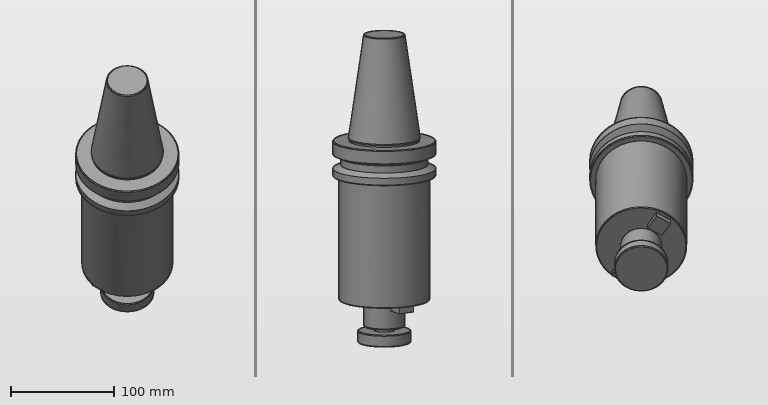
import cadquery as cq

total_height = 303.8
screw_head_top = 12.0
spigot_bottom = 15.5
body_bottom = 42.0
flange_bottom = 164.0
groove_lower_edge = 171.5
groove_floor_bottom = 175.3
groove_floor_top = 182.3
groove_upper_edge = 186.0
flange_top = 199.0
relief_top = 200.5
taper_base = 202.0

screw_head_radius = 25.8
screw_neck_radius = 10.0
spigot_radius = 20.0
body_radius = 44.0
flange_radius = 100.0 / 2
groove_radius = 42.2
taper_base_radius = 35.0
relief_radius = 34.3
taper_per_length = 7 / 24
taper_top_radius = taper_base_radius - (total_height - taper_base) * taper_per_length / 2

small_chamfer = 1.0
spigot_chamfer = 1.5

key_width = 16.0
key_drop = 6.5
key_inner = 24.0
key_outer = 40.0


def cylinder(radius, bottom, top):
    return cq.Workplane("XY").workplane(offset=bottom).circle(radius).extrude(top - bottom)


def cone(bottom_radius, top_radius, bottom, top):
    profile = [(0, bottom), (bottom_radius, bottom), (top_radius, top), (0, top)]
    return cq.Workplane("XZ").polyline(profile).close().revolve(360, (0, 0), (0, 1))


def make_taper():
    shank = cone(taper_base_radius, taper_top_radius, taper_base, total_height)
    shank = shank.faces(">Z").edges().chamfer(small_chamfer)
    lip = cone(relief_radius, taper_base_radius, relief_top, taper_base)
    relief = cylinder(relief_radius, flange_top, relief_top)
    return shank.union(lip).union(relief)


def make_flange():
    rim = cylinder(flange_radius, flange_bottom, flange_top).edges().chamfer(small_chamfer)
    groove_profile = [
        (flange_radius, groove_lower_edge),
        (groove_radius, groove_floor_bottom),
        (groove_radius, groove_floor_top),
        (flange_radius, groove_upper_edge),
    ]
    groove = cq.Workplane("XZ").polyline(groove_profile).close().revolve(360, (0, 0), (0, 1))
    return rim.cut(groove)


def make_body():
    return cylinder(body_radius, body_bottom, flange_bottom).faces("<Z").edges().chamfer(small_chamfer)


def make_spigot():
    return cylinder(spigot_radius, spigot_bottom, body_bottom).faces("<Z").edges().chamfer(spigot_chamfer)


def make_clamping_screw():
    head = cylinder(screw_head_radius, 0, screw_head_top).edges().chamfer(small_chamfer)
    neck = cylinder(screw_neck_radius, screw_head_top, spigot_bottom)
    return head.union(neck)


def make_drive_keys():
    key_centre = (key_inner + key_outer) / 2
    return (
        cq.Workplane("XY")
        .workplane(offset=body_bottom)
        .pushPoints([(0, -key_centre), (0, key_centre)])
        .rect(key_width, key_outer - key_inner)
        .extrude(-key_drop)
    )


result = (
    make_body()
    .union(make_flange())
    .union(make_taper())
    .union(make_spigot())
    .union(make_clamping_screw())
    .union(make_drive_keys())
)